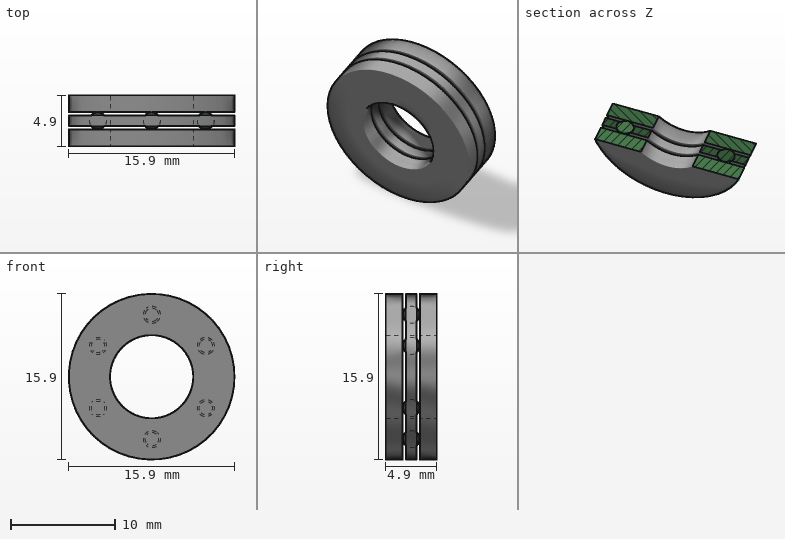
import cadquery as cq
import math

OUTER_DIAMETER = 15.88
BORE_DIAMETER = 7.94
TOTAL_WIDTH = 4.9
CAGE_WIDTH = 1.02
EDGE_ROUND = 0.05
BALL_COUNT = 6
FIRST_BALL_ANGLE = 30.0

WASHER_WIDTH = TOTAL_WIDTH / 3
BALL_DIAMETER = TOTAL_WIDTH - 2 * WASHER_WIDTH
PITCH_RADIUS = (OUTER_DIAMETER + BORE_DIAMETER) / 4
WASHER_OFFSET = (TOTAL_WIDTH - WASHER_WIDTH) / 2


def make_ring(width, center_y):
    """Flat ring around the Y axis with lightly rounded rims."""
    return (
        cq.Workplane("XZ", origin=(0, center_y + width / 2, 0))
        .circle(OUTER_DIAMETER / 2)
        .circle(BORE_DIAMETER / 2)
        .extrude(width)
        .edges("%CIRCLE")
        .fillet(EDGE_ROUND)
    )


def make_washer(side):
    """Outer washer: side is -1 for the -Y end and +1 for the +Y end."""
    return make_ring(WASHER_WIDTH, side * WASHER_OFFSET)


def make_ball(index):
    """One ball on the pitch circle."""
    angle = math.radians(FIRST_BALL_ANGLE + index * 360.0 / BALL_COUNT)
    center = (PITCH_RADIUS * math.cos(angle), 0, PITCH_RADIUS * math.sin(angle))
    return cq.Workplane("XY").sphere(BALL_DIAMETER / 2).translate(center)


def make_cage(balls):
    """Middle ring with a matching spherical pocket for every ball."""
    cage = make_ring(CAGE_WIDTH, 0)
    for ball in balls:
        cage = cage.cut(ball)
    return cage


washers = [make_washer(side) for side in (-1, 1)]
balls = [make_ball(index) for index in range(BALL_COUNT)]
cage = make_cage(balls)

result = cq.Compound.makeCompound(
    [washer.val() for washer in washers]
    + [cage.solids().val()]
    + [ball.val() for ball in balls]
)